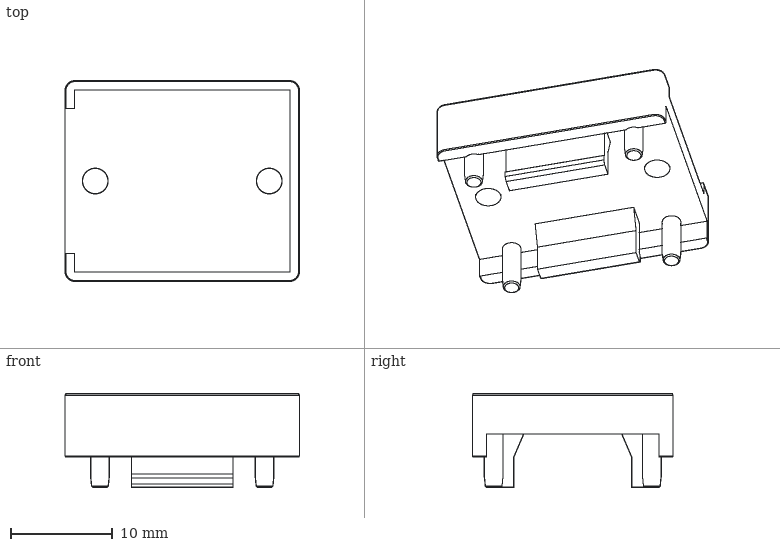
import cadquery as cq

length = 23.1
width = 19.8
overall_height = 9.25
body_height = 6.25
corner_radius = 1.0
rim_bevel_width = 0.1
rim_bevel_height = 0.18
bottom_bevel = 0.1

wall = 0.92
tray_depth = 1.5
deck_bottom = -4.0
lip_length = 2.75
skirt_thickness = 1.4
channel_width = width - 2 * skirt_thickness

hole_diameter = 2.5
hole_spacing = 17.15

pin_diameter = 1.85
pin_root = -2.3
pin_spacing_x = 16.22
pin_spacing_y = 15.6
pin_taper_height = 1.02
pin_taper_inset = 0.1
pin_end_bevel = 0.15

clip_length = 10.0
clip_inner = 5.8
clip_root_inner = 4.83
clip_outer = 7.15
barb_reach = 0.4
barb_ramp_top = -7.92
barb_top = -8.32
barb_bottom = -8.92


def make_body():
    """Rounded block with a tray, an open lip on -X and a channel along X."""
    body = (
        cq.Workplane("XY")
        .box(length, width, body_height, centered=(True, True, False))
        .translate((0, 0, -body_height))
        .edges("|Z").fillet(corner_radius)
    )
    body = body.faces(">Z").chamfer(rim_bevel_height, rim_bevel_width)
    body = body.faces("<Z").chamfer(bottom_bevel)
    tray = cq.Workplane("XY").box(
        length - 2 * wall, width - 2 * wall, 2 * tray_depth
    )
    lip_opening = cq.Workplane("XY").box(
        length / 2, width - 2 * lip_length, 2 * tray_depth
    ).translate((-length / 2, 0, 0))
    channel = cq.Workplane("XY").box(
        length, channel_width, overall_height, centered=(True, True, False)
    ).translate((0, 0, deck_bottom - overall_height))
    return body.cut(tray).cut(lip_opening).cut(channel)


def make_pin():
    """Round pin with a slightly tapered tip, revolved about Z."""
    radius = pin_diameter / 2
    tip_radius = radius - pin_taper_inset
    return (
        cq.Workplane("XZ")
        .moveTo(0, pin_root)
        .lineTo(radius, pin_root)
        .lineTo(radius, pin_taper_height - overall_height)
        .lineTo(tip_radius, pin_end_bevel - overall_height)
        .lineTo(tip_radius - pin_end_bevel, -overall_height)
        .lineTo(0, -overall_height)
        .close()
        .revolve(360, (0, 0, 0), (0, 1, 0))
    )


def make_clip():
    """Clip on the +Y side, braced at its root and barbed on the outside."""
    barb_outer = clip_outer + barb_reach
    return (
        cq.Workplane("YZ")
        .moveTo(clip_root_inner, deck_bottom)
        .lineTo(clip_inner, -body_height)
        .lineTo(clip_inner, -overall_height)
        .lineTo(clip_outer, -overall_height)
        .lineTo(barb_outer, barb_bottom)
        .lineTo(barb_outer, barb_top)
        .lineTo(clip_outer, barb_ramp_top)
        .lineTo(clip_outer, deck_bottom)
        .close()
        .extrude(clip_length / 2, both=True)
    )


result = make_body()

pin = make_pin()
for x_side in (-1, 1):
    for y_side in (-1, 1):
        position = (x_side * pin_spacing_x / 2, y_side * pin_spacing_y / 2, 0)
        result = result.union(pin.translate(position))

clip = make_clip()
result = result.union(clip).union(clip.mirror("XZ"))

holes = (
    cq.Workplane("XY")
    .pushPoints([(-hole_spacing / 2, 0), (hole_spacing / 2, 0)])
    .circle(hole_diameter / 2)
    .extrude(-overall_height)
)
result = result.cut(holes)